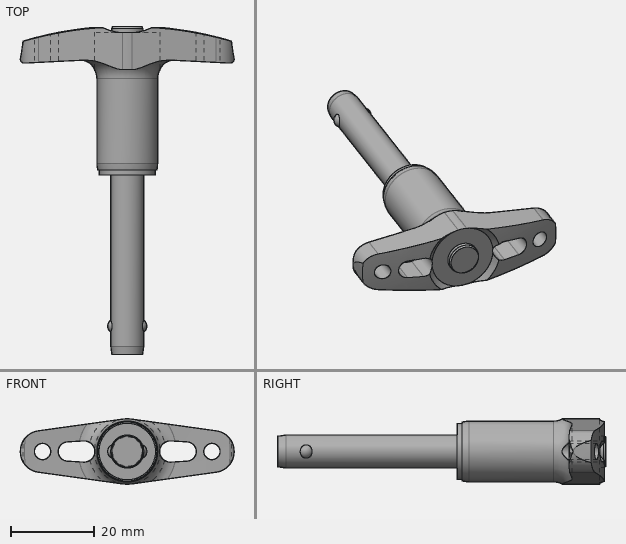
import cadquery as cq
import math


pin_length = 43.2
pin_radius = 3.99
pin_tip_radius = 3.7
pin_tip_length = 2.0
ball_radius = 1.7
ball_reach = 4.75
ball_from_tip = 6.9

shoulder_radius = 6.8
shoulder_height = 1.2
collar_radius = 7.35
collar_rim_radius = 7.1
collar_rim_top = 2.85
collar_rim_round = 5.9
flare_start = 23.2
flare_radius = 4.4

grip_half_length = 25.75
grip_half_width = 7.9
grip_end_radius = 5.05

tip_top_radius = 25.1
tip_top = 32.2
tip_bottom_radius = 25.9
tip_bottom = 26.85
tip_bottom_round = 0.95
dome_radius = 83.75

hole_x = 20.4
hole_diameter = 3.9
slot_outer_end = 16.6
slot_inner_end = 7.8
slot_outer_radius = 2.3
slot_inner_radius = 2.5

overall_length = 79.0
button_radius = 3.8
button_rim_radius = 3.55
button_rim_height = 0.55
dish_floor = 34.3
dish_floor_radius = 7.9
dish_rim_radius = 9.25
dish_rim = 35.5

button_top = overall_length - pin_length
flare_outer_radius = collar_radius + flare_radius
underside_flare = flare_start + flare_radius


def revolve_about_y(outline):
    return outline.close().revolve(360, (0, 0, 0), (0, 1, 0))


def make_pin():
    outline = (
        cq.Workplane("XY")
        .moveTo(0, -pin_length)
        .lineTo(pin_tip_radius, -pin_length)
        .lineTo(pin_radius, pin_tip_length - pin_length)
        .lineTo(pin_radius, shoulder_height)
        .lineTo(0, shoulder_height)
    )
    pin = revolve_about_y(outline)
    for side in (-1, 1):
        ball_x = side * (ball_reach - ball_radius)
        ball = cq.Workplane("XY").sphere(ball_radius).translate((ball_x, ball_from_tip - pin_length, 0))
        pin = pin.union(ball)
    return pin


def make_handle_blank():
    """Collar, flare, drooping underside, drafted rim, domed top and dish as one turned shape."""
    outline = (
        cq.Workplane("XY")
        .lineTo(shoulder_radius, 0)
        .lineTo(shoulder_radius, shoulder_height)
        .lineTo(collar_rim_radius, shoulder_height)
        .radiusArc((collar_radius, collar_rim_top), -collar_rim_round)
        .lineTo(collar_radius, flare_start)
        .radiusArc((flare_outer_radius, underside_flare), flare_radius)
        .lineTo(tip_bottom_radius, tip_bottom)
        .lineTo(tip_top_radius, tip_top)
        .radiusArc((dish_rim_radius, dish_rim), -dome_radius)
        .lineTo(dish_floor_radius, dish_floor)
        .lineTo(0, dish_floor)
    )
    blank = revolve_about_y(outline)
    tip_bottom_edge = blank.edges(cq.selectors.NearestToPointSelector((0, tip_bottom, 0)))
    return tip_bottom_edge.fillet(tip_bottom_round)


def tapered_bar(large_x, large_radius, small_x, small_radius):
    """Bar along Y whose section is two circles at +X places, wrapped by their tangent lines."""
    spread = small_x - large_x
    taper = math.asin((large_radius - small_radius) / spread)
    large_tangent_x = large_x + large_radius * math.sin(taper)
    large_tangent_z = large_radius * math.cos(taper)
    small_tangent_x = small_x + small_radius * math.sin(taper)
    small_tangent_z = small_radius * math.cos(taper)
    return (
        cq.Workplane("XZ")
        .moveTo(large_tangent_x, large_tangent_z)
        .lineTo(small_tangent_x, small_tangent_z)
        .threePointArc((small_x + small_radius, 0), (small_tangent_x, -small_tangent_z))
        .lineTo(large_tangent_x, -large_tangent_z)
        .threePointArc((large_x - large_radius, 0), (large_tangent_x, large_tangent_z))
        .close()
        .extrude(-button_top)
    )


def with_mirror(half):
    return half.union(half.mirror("YZ"))


def make_grip_plan():
    """Rounded diamond prism, as wide as the central circle and narrowing to both ends."""
    end_center = grip_half_length - grip_end_radius
    return with_mirror(tapered_bar(0, grip_half_width, end_center, grip_end_radius))


def make_openings():
    """Lanyard holes and finger slots; each slot is wider beside the collar."""
    hole = cq.Workplane("XZ").center(hole_x, 0).circle(hole_diameter / 2).extrude(-button_top)
    slot = tapered_bar(
        slot_inner_end + slot_inner_radius, slot_inner_radius,
        slot_outer_end - slot_outer_radius, slot_outer_radius)
    return with_mirror(hole.union(slot))


def make_button():
    outline = (
        cq.Workplane("XY")
        .moveTo(0, underside_flare)
        .lineTo(button_radius, underside_flare)
        .lineTo(button_radius, button_top - button_rim_height)
        .lineTo(button_rim_radius, button_top)
        .lineTo(0, button_top)
    )
    return revolve_about_y(outline)


result = (
    make_handle_blank()
    .intersect(make_grip_plan())
    .cut(make_openings())
    .union(make_button())
    .union(make_pin())
)